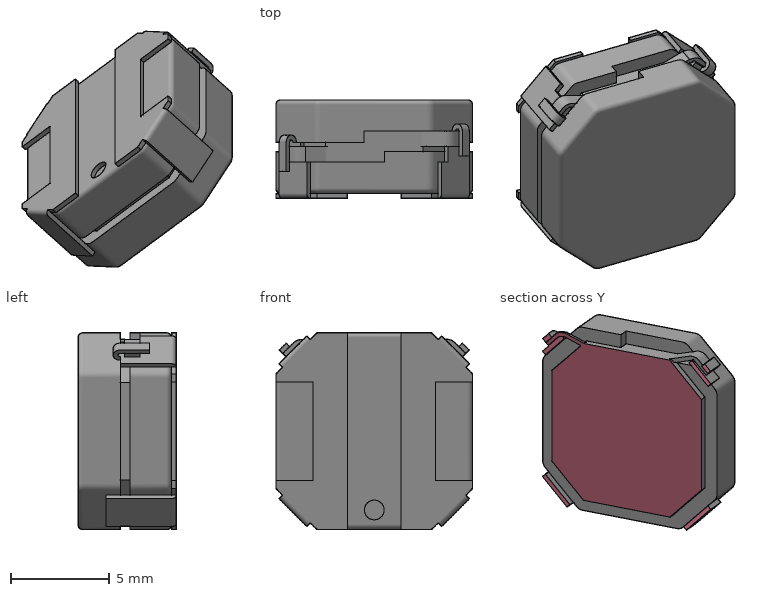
import cadquery as cq
import math

half_width = 5.0
corner_start = 2.91
y_bottom = -2.5
y_top = 2.5
corner_distance = (half_width + corner_start) / math.sqrt(2)

sheet = 0.25
wire_thickness = 0.23

wire_width = 0.78
y_winding_mid = 0.14
y_winding_low = y_winding_mid - wire_width
y_winding_high = y_winding_mid + wire_width
winding_half_width = 4.3
winding_corner_start = 2.48

y_lower_core_top = -0.13
y_upper_core_bottom = 0.35
core_edge_radius = 0.25
core_corner_radius = 0.5
notch_overlap = 0.51
notch_floor = winding_half_width - wire_thickness
mark_radius = 0.5
mark_z = -4.0
mark_depth = 0.25

plate_inner_edge = 1.36
plate_notch_edge = 3.1
plate_notch_half_length = 2.5
tab_half_width = 1.0
tab_step = 0.45
y_plain_tab_top = 1.08
hook_width = 0.5
left_hook_leg = 1.48
right_hook_leg = 1.26

lead_start = 2.43
level_run = 0.2
left_crest_x = 3.5
left_crest_z = 4.66
right_fold_x = 3.84
lead_outer_distance = corner_distance + sheet + wire_thickness
lead_bend_radius = 0.55
lift_bend_radius = 0.35


def octagon(half, corner, y_start, y_end):
    """Octagonal prism about the Y axis."""
    points = [
        (half, corner), (corner, half), (-corner, half), (-half, corner),
        (-half, -corner), (-corner, -half), (corner, -half), (half, -corner),
    ]
    return (
        cq.Workplane("XZ", origin=(0, y_start, 0)).polyline(points).close().extrude(y_start - y_end)
    )


def box(x_range, y_range, z_range):
    """Box between the given limits."""
    sizes = [high - low for low, high in (x_range, y_range, z_range)]
    corner = (x_range[0], y_range[0], z_range[0])
    return cq.Workplane("XY").box(*sizes, centered=False).translate(corner)


def core(y_start, y_end, outer_face):
    """Octagonal core half with rounded corners and a rounded outer rim."""
    block = octagon(half_width, corner_start, y_start, y_end)
    block = block.edges("|Y").fillet(core_corner_radius)
    return block.faces(outer_face).edges().fillet(core_edge_radius)


def winding_block():
    return octagon(winding_half_width, winding_corner_start, y_winding_low, y_winding_high)


def corner_point(distance, along):
    """XZ point at a distance from the centre, shifted along the top +X corner face."""
    return ((distance + along) / math.sqrt(2), (distance - along) / math.sqrt(2))


def inset_path(path, depth):
    """Parallel path at the given depth to the right of the direction of travel."""
    headings = [math.atan2(b[1] - a[1], b[0] - a[0]) for a, b in zip(path, path[1:])]
    headings = [headings[0]] + headings + [headings[-1]]
    inset = []
    for (x, z), before, after in zip(path, headings, headings[1:]):
        middle = (before + after) / 2
        reach = depth / math.cos((after - before) / 2)
        inset.append((x + reach * math.sin(middle), z - reach * math.cos(middle)))
    return inset


def lead(crest_points, y_start):
    """Flat wire lead on the +X side that rises from the winding and folds along the corner."""
    start = (lead_start - level_run, winding_half_width)
    lift = (lead_start, winding_half_width)
    outer = [start, lift] + crest_points + [corner_point(lead_outer_distance, hook_width)]
    inner = inset_path(outer, wire_thickness)
    ribbon = (
        cq.Workplane("XZ", origin=(0, y_start, 0))
        .polyline(outer + inner[::-1]).close().extrude(-wire_width)
    )
    bends = (
        (lift, lift_bend_radius),
        (outer[-2], lead_bend_radius),
        (inner[-2], lead_bend_radius - wire_thickness),
    )
    for (x, z), radius in bends:
        nearest = cq.selectors.NearestToPointSelector((x, y_start + wire_width / 2, z))
        ribbon = ribbon.edges("|Y").edges(nearest).fillet(radius)
    return ribbon


def tab(s_start, s_end, y_end):
    """Upright tab in a frame where X runs outward and -Z runs along the corner face."""
    outer = corner_distance + sheet
    return (
        cq.Workplane("XY", origin=(0, 0, -s_start))
        .moveTo(corner_distance, y_bottom)
        .radiusArc((outer, y_bottom + sheet), -sheet)
        .lineTo(outer, y_end)
        .lineTo(corner_distance, y_end)
        .close()
        .extrude(s_start - s_end)
    )


def hook(y_bend, leg):
    """Strip folded outward over the lead, in the same frame as the tab."""
    inner_side = corner_distance + sheet
    leg_inner = inner_side + wire_thickness
    leg_outer = leg_inner + sheet
    return (
        cq.Workplane("XY")
        .moveTo(corner_distance, y_bend)
        .radiusArc((leg_outer, y_bend), (leg_outer - corner_distance) / 2)
        .lineTo(leg_outer, y_bend - leg)
        .lineTo(leg_inner, y_bend - leg)
        .lineTo(leg_inner, y_bend)
        .radiusArc((inner_side, y_bend), -wire_thickness / 2)
        .close()
        .extrude(-hook_width)
    )


def terminal(y_bend, leg):
    """Terminal on the +X side: base plate, plain lower tab and hooked upper tab."""
    plate = octagon(half_width, corner_start, y_bottom, y_bottom + sheet)
    plate_y = (y_bottom, y_bottom + sheet)
    plate = plate.intersect(box((plate_inner_edge, half_width), plate_y, (-half_width, half_width)))
    plate = plate.cut(
        box((plate_notch_edge, half_width), plate_y, (-plate_notch_half_length, plate_notch_half_length))
    )
    plain_tab = tab(-tab_half_width, tab_half_width, y_plain_tab_top)
    hooked_tab = (
        tab(-tab_half_width, tab_half_width, y_winding_low)
        .union(tab(-tab_half_width + tab_step, tab_half_width, y_bend))
        .union(hook(y_bend, leg))
    )
    axis = ((0, 0, 0), (0, 1, 0))
    return plate.union(plain_tab.rotate(*axis, 45)).union(hooked_tab.rotate(*axis, -45))


fold_sum = lead_outer_distance * math.sqrt(2)
right_fold = (right_fold_x, fold_sum - right_fold_x)
left_crest = (left_crest_x, left_crest_z)
left_fold = (fold_sum - left_crest_z, left_crest_z)
right_lead = lead([right_fold], y_winding_mid)
left_lead = lead([left_crest, left_fold], y_winding_low).mirror("YZ")
winding = winding_block().union(right_lead).union(left_lead)

lower_core = (
    core(y_bottom + sheet, y_lower_core_top, "<Y")
    .cut(winding_block())
    .cut(box((-half_width, notch_overlap), (y_winding_low, y_lower_core_top), (notch_floor, half_width)))
)
mark = (
    cq.Workplane("XZ", origin=(0, y_bottom + sheet, 0))
    .center(0, mark_z).circle(mark_radius).extrude(-mark_depth)
)
lower_core = lower_core.cut(mark)

upper_core = (
    core(y_upper_core_bottom, y_top, ">Y")
    .cut(winding_block())
    .cut(box((-notch_overlap, half_width), (y_upper_core_bottom, y_winding_high), (notch_floor, half_width)))
)

right_terminal = terminal(y_winding_high, right_hook_leg).cut(winding)
left_terminal = terminal(y_upper_core_bottom, left_hook_leg).mirror("YZ").cut(winding)

result = cq.Compound.makeCompound(
    [lower_core.val(), upper_core.val(), winding.val(), right_terminal.val(), left_terminal.val()]
)